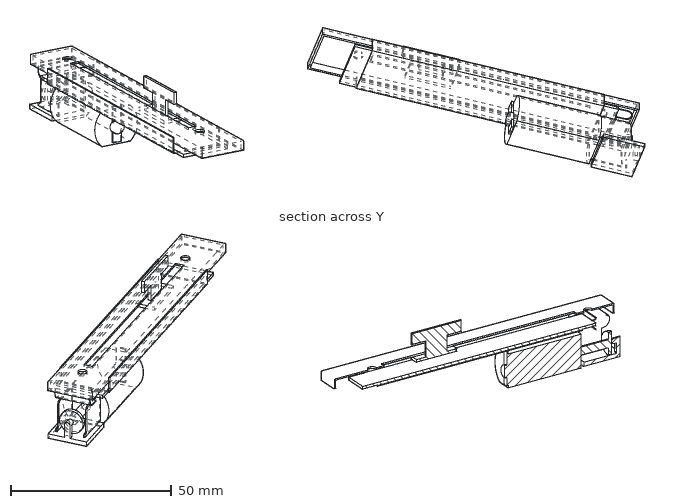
import cadquery as cq


tray_start = 13.9
tray_length = 76.0
tray_width = 17.0
tray_bottom = 12.8
tray_top = 18.2
tray_sheet = 0.4
tray_bend = 0.6
tray_middle = tray_start + tray_length / 2

board_start = 9.0
board_length = 86.5
board_width = tray_width - 2 * tray_sheet
board_thickness = 1.1
board_bottom = tray_bottom + tray_sheet

cover_start = 2.1
cover_end = 106.0
cover_width = 15.3
cover_bottom = 16.0
cover_top = 19.5
cover_sheet = 0.6
slot_length = 71.2
slot_width = 2.9
screw_hole_diameter = 3.0
screw_hole_spacing = 80.0

slider_middle = 68.0
carriage_length = 15.0
carriage_width = 6.4
carriage_top = 18.5
carriage_thickness = 1.1
lever_thickness = 1.0
stem_width = 8.0
crossbar_width = 18.3
crossbar_bottom = 24.0
lever_top = 27.9

motor_start = 14.5
motor_end = 41.4
motor_diameter = 15.7
motor_height = 11.9
motor_axis = motor_height / 2
bearing_diameter = 4.5
bearing_length = 1.6
bearing_fillet = 0.5
tab_thickness = 0.6
tab_width = 3.2
tab_bottom = 0.8

pulley_start = 3.2
pulley_diameter = 8.0
pulley_thickness = 1.3
hub_diameter = 3.0

base_length = 13.5
base_width = 13.1
base_bottom = 0.3
base_top = 1.9
cheek_spacing = 9.5
cheek_thickness = 0.4
cheek_start = 3.9
cheek_corner = 1.3
foot_start = 2.3
foot_height = 1.0
foot_fillet = 1.0
post_thickness = 1.4
pin_diameter = 2.0
pin_axis = 6.4

strip_width = 11.9
strip_thickness = 0.3
strip_end = 9.0
strip_outermost = 3.8
strip_low_radius = 2.8
strip_high_radius = 1.6
strip_bend_height = motor_height + strip_low_radius


def block(x_start, x_end, width, z_bottom, z_top):
    """Box centred on Y = 0."""
    size = (x_end - x_start, width, z_top - z_bottom)
    return cq.Workplane("XY").box(*size, centered=(False, True, False)).translate((x_start, 0, z_bottom))


def rod(x_start, x_end, diameter, z_axis):
    """Cylinder along X on Y = 0."""
    return cq.Workplane("YZ", origin=(x_start, 0, z_axis)).circle(diameter / 2).extrude(x_end - x_start)


def make_tray():
    end = tray_start + tray_length
    channel = block(tray_start, end, tray_width, tray_bottom, tray_top)
    channel = channel.edges("|X and <Z").fillet(tray_bend)
    return channel.cut(block(tray_start, end, board_width, board_bottom, tray_top))


def make_board():
    board_end = board_start + board_length
    return block(board_start, board_end, board_width, board_bottom, board_bottom + board_thickness)


def make_cover():
    shell = block(cover_start, cover_end, cover_width, cover_bottom, cover_top)
    shell = shell.faces(">Z").edges().fillet(cover_sheet)
    shell = shell.cut(
        block(
            cover_start + cover_sheet,
            cover_end - cover_sheet,
            cover_width - 2 * cover_sheet,
            cover_bottom,
            cover_top - cover_sheet,
        )
    )
    openings = cq.Workplane("XY", origin=(tray_middle, 0, cover_bottom))
    height = cover_top - cover_bottom
    shell = shell.cut(openings.rect(slot_length, slot_width).extrude(height))
    holes = openings.rarray(screw_hole_spacing, 1.1, 2, 1).circle(screw_hole_diameter / 2).extrude(height)
    return shell.cut(holes)


def make_slider():
    def centred(length, width, z_bottom, z_top):
        half = length / 2
        return block(slider_middle - half, slider_middle + half, width, z_bottom, z_top)

    carriage = centred(carriage_length, carriage_width, carriage_top - carriage_thickness, carriage_top)
    stem = centred(stem_width, lever_thickness, carriage_top, crossbar_bottom)
    crossbar = centred(crossbar_width, lever_thickness, crossbar_bottom, lever_top)
    return carriage.union(stem).union(crossbar)


def make_motor():
    can = rod(motor_start, motor_end, motor_diameter, motor_axis)
    can = can.intersect(block(motor_start, motor_end, motor_diameter, 0, motor_height))
    bearing = rod(motor_end, motor_end + bearing_length, bearing_diameter, motor_axis)
    bearing = bearing.faces(">X").edges().fillet(bearing_fillet)
    hanging_tab = block(motor_end, motor_end + tab_thickness, tab_width, tab_bottom, tray_bottom)
    return can.union(bearing).union(hanging_tab)


def make_pulley():
    rim = rod(pulley_start, pulley_start + pulley_thickness, pulley_diameter, motor_axis)
    hub = rod(pulley_start, motor_start, hub_diameter, motor_axis)
    return rim.union(hub)


def make_cheek(y_middle):
    """Upright plate with a rounded upper corner and a foot reaching forward."""
    profile = (
        cq.Workplane("XZ", origin=(0, y_middle + cheek_thickness / 2, 0))
        .moveTo(foot_start, base_top)
        .lineTo(motor_start, base_top)
        .lineTo(motor_start, motor_height)
        .lineTo(cheek_start + cheek_corner, motor_height)
        .radiusArc((cheek_start, motor_height - cheek_corner), -cheek_corner)
        .lineTo(cheek_start, base_top + foot_height + foot_fillet)
        .radiusArc((cheek_start - foot_fillet, base_top + foot_height), foot_fillet)
        .lineTo(foot_start, base_top + foot_height)
        .close()
    )
    return profile.extrude(cheek_thickness)


def make_bearing_post():
    """Post with a round-nosed pin whose tip touches the pulley."""
    post = block(0, post_thickness, pin_diameter, base_top, pin_axis)
    nose_centre = pulley_start - pin_diameter / 2
    pin = rod(0, nose_centre, pin_diameter, pin_axis)
    nose = cq.Workplane("XY", origin=(nose_centre, 0, pin_axis)).sphere(pin_diameter / 2)
    return post.union(pin).union(nose)


def make_holder():
    holder = block(0, base_length, base_width, base_bottom, base_top)
    for side in (-1, 1):
        holder = holder.union(make_cheek(side * cheek_spacing / 2))
    return holder.union(make_bearing_post())


def make_strip():
    """Lower flat, wide quarter bend, tight quarter bend and upper flat, all of one thickness."""
    low_bend_end = strip_outermost + strip_low_radius
    high_bend_end = strip_outermost + strip_high_radius
    strip_top = strip_bend_height + strip_high_radius
    low_inner_radius = strip_low_radius - strip_thickness
    high_inner_radius = strip_high_radius - strip_thickness
    profile = (
        cq.Workplane("XZ", origin=(0, strip_width / 2, 0))
        .moveTo(strip_end, motor_height)
        .lineTo(low_bend_end, motor_height)
        .radiusArc((strip_outermost, strip_bend_height), strip_low_radius)
        .radiusArc((high_bend_end, strip_top), strip_high_radius)
        .lineTo(strip_end, strip_top)
        .lineTo(strip_end, strip_top - strip_thickness)
        .lineTo(high_bend_end, strip_top - strip_thickness)
        .radiusArc((strip_outermost + strip_thickness, strip_bend_height), -high_inner_radius)
        .radiusArc((low_bend_end, motor_height + strip_thickness), -low_inner_radius)
        .lineTo(strip_end, motor_height + strip_thickness)
        .close()
    )
    return profile.extrude(strip_width)


tray = make_tray()
board = make_board()
cover = make_cover()
slider = make_slider()
motor = make_motor()
pulley = make_pulley()
holder = make_holder()
strip = make_strip()

result = cq.Compound.makeCompound(
    [body.val() for body in (tray, board, cover, slider, motor, pulley, holder, strip)]
)